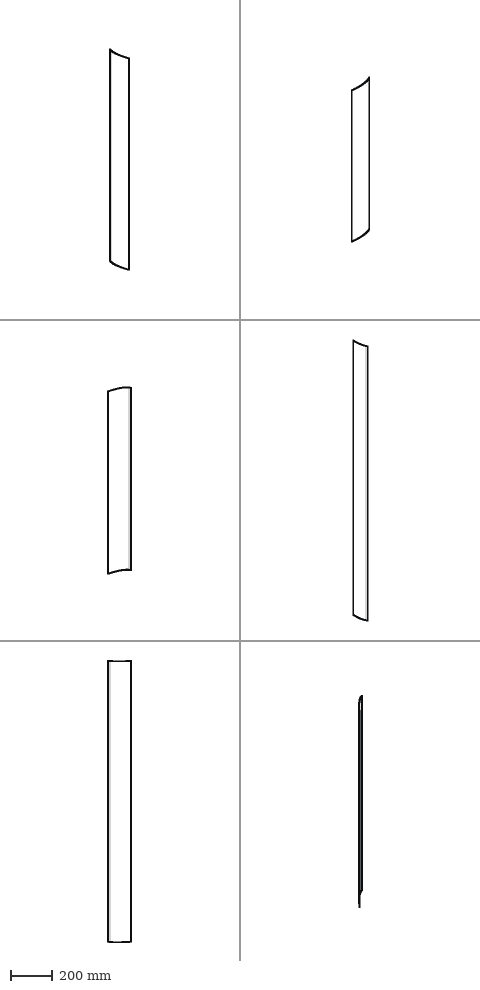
import cadquery as cq
import math

width = 106.6
depth = 39.47
length = 1397.65

tip = (0.0, depth)
right_edge_thickness = 1.5
right_edge_slope = 8.0

nose_tip_slope = 62.0
nose_end = (7.0, 30.0)
nose_end_slope = 41.0
outer_upper = (24.0, 19.8)
outer_upper_slope = 24.0
outer_lower = (74.0, 5.0)
outer_lower_slope = 11.5

inner_tip_slope = 44.0
inner_upper = (30.0, 20.5)
inner_upper_slope = 25.0
inner_lower = (74.0, 6.5)
inner_lower_slope = 11.5


def tangent(slope):
    angle = math.radians(slope)
    return (math.cos(angle), -math.sin(angle))


def curve(*stations):
    """Smooth curve through (point, slope) stations."""
    points = [cq.Vector(*point) for point, slope in stations]
    tangents = [cq.Vector(*tangent(slope)) for point, slope in stations]
    return cq.Edge.makeSpline(points, tangents=tangents)


def section():
    edge_angle = math.radians(right_edge_slope)
    outer_corner = (width - right_edge_thickness * math.sin(edge_angle), 0.0)
    inner_corner = (width, right_edge_thickness * math.cos(edge_angle))

    nose = curve((tip, nose_tip_slope), (nose_end, nose_end_slope))
    outer = curve(
        (nose_end, nose_end_slope),
        (outer_upper, outer_upper_slope),
        (outer_lower, outer_lower_slope),
        (outer_corner, right_edge_slope),
    )
    right_edge = cq.Edge.makeLine(cq.Vector(*outer_corner), cq.Vector(*inner_corner))
    inner = curve(
        (tip, inner_tip_slope),
        (inner_upper, inner_upper_slope),
        (inner_lower, inner_lower_slope),
        (inner_corner, right_edge_slope),
    )
    return cq.Wire.assembleEdges([nose, outer, right_edge, inner])


result = cq.Workplane(cq.Solid.extrudeLinear(section(), [], cq.Vector(0, 0, length)))